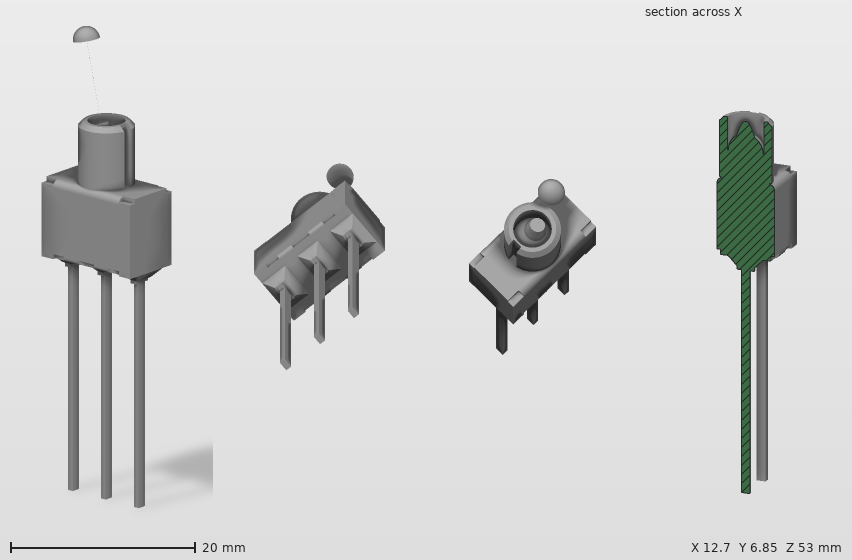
import cadquery as cq
import math


body_length = 12.7
body_width = 6.85
body_bottom = 27.0
body_top = 35.9
cover_length = 9.45
edge_radius = 0.8
ledge_drop = 0.55
tab_bend_radius = 0.4
tab_inner = 1.15
tab_outer = 3.15
recess_height = 0.6
recess_depth = 0.4

pin_pitch = 4.7
pin_thickness = 0.7
pin_width = 1.05
collar_width = 2.1
collar_bottom = 25.55
seal_bottom = 26.0
seal_width = 4.15
middle_seal_length = 2.85
middle_seal_tip = 0.9
outer_seal_length = 3.2
outer_seal_tip = 1.4

bushing_diameter = 6.2
bushing_top = 42.95
bushing_chamfer = 0.55
bore_diameter = 4.2
keyway_width = 1.15
keyway_floor = 2.3

lever_tilt = 13.0
overall_height = 53.05
knob_radius = 1.5
knob_offset = 2.85
stub_height = 3.45
stub_tip_diameter = 1.65
stub_base_diameter = 2.35
core_diameter = 0.01

knob_height = overall_height - knob_radius
lever_length = knob_offset / math.sin(math.radians(lever_tilt))
pivot_height = knob_height - knob_offset / math.tan(math.radians(lever_tilt))


def box(length, width, bottom, top, x=0, y=0):
    """Upright box centred on (x, y) between two heights."""
    return cq.Workplane("XY").box(length, width, top - bottom, (True, True, False)).translate((x, y, bottom))


def make_housing():
    """Block with rounded cover edges, lowered corner ledges and bent tabs under the cover."""
    ends = box(body_length, body_width, body_bottom, body_top)
    cover = box(cover_length, body_width, body_bottom, body_top)
    ends = ends.cut(cover)
    cover = cover.edges("|X and >Z").fillet(edge_radius)
    cover = cover.edges("|X and <Z").fillet(tab_bend_radius)

    ledge_length = (body_length - cover_length) / 2
    recess_top = body_bottom + recess_height
    for side in (-1, 1):
        ledge_y = side * (body_width - edge_radius) / 2
        recess_y = side * (body_width - recess_depth) / 2
        for end in (-1, 1):
            ledge_x = end * (body_length - ledge_length) / 2
            ends = ends.cut(
                box(ledge_length, edge_radius, body_top - ledge_drop, body_top, ledge_x, ledge_y)
            )
            outer_length = cover_length / 2 - tab_outer
            outer_x = end * (cover_length / 2 + tab_outer) / 2
            cover = cover.cut(box(outer_length, recess_depth, body_bottom, recess_top, outer_x, recess_y))
        cover = cover.cut(box(2 * tab_inner, recess_depth, body_bottom, recess_top, 0, recess_y))
    return ends.union(cover)


def make_terminal(x, seal_length, seal_tip):
    """Flat pin with a shoulder collar and a tapered seal against the housing."""
    pin = box(pin_thickness, pin_width, 0, body_bottom, x)
    collar = box(pin_thickness, collar_width, collar_bottom, body_bottom, x)
    seal = (
        cq.Workplane("XY", origin=(x, 0, seal_bottom))
        .rect(seal_tip, collar_width)
        .workplane(offset=body_bottom - seal_bottom)
        .rect(seal_length, seal_width)
        .loft(ruled=True)
    )
    return pin.union(collar).union(seal)


def make_bushing():
    """Chamfered sleeve whose bore ends on the dome of the pivot ball, with a keyway on +X."""
    outer = bushing_diameter / 2
    bore = bore_diameter / 2
    diagonal = bore * math.sqrt(0.5)
    sleeve = (
        cq.Workplane("XZ")
        .moveTo(0, body_top)
        .lineTo(outer, body_top)
        .lineTo(outer, bushing_top - bushing_chamfer)
        .lineTo(outer - bushing_chamfer, bushing_top)
        .lineTo(bore, bushing_top)
        .lineTo(bore, pivot_height)
        .threePointArc((diagonal, pivot_height + diagonal), (0, pivot_height + bore))
        .close()
        .revolve(360, (0, 0), (0, 1))
    )
    keyway_depth = outer - keyway_floor
    keyway = box(keyway_depth, keyway_width, body_top, bushing_top, keyway_floor + keyway_depth / 2)
    return sleeve.cut(keyway)


def make_lever():
    """Tapered stub rising from the pivot centre, joined by a hair-thin core to a half-ball knob."""
    stub_start = math.sqrt(bore_diameter**2 - stub_base_diameter**2) / 2
    stub = (
        cq.Workplane("XZ")
        .lineTo(stub_base_diameter / 2, 0)
        .lineTo(stub_base_diameter / 2, stub_start)
        .lineTo(stub_tip_diameter / 2, stub_height)
        .lineTo(0, stub_height)
        .close()
        .revolve(360, (0, 0), (0, 1))
    )
    knob_diagonal = knob_radius * math.sqrt(0.5)
    knob = (
        cq.Workplane("XZ")
        .moveTo(0, lever_length)
        .lineTo(knob_radius, lever_length)
        .threePointArc((knob_diagonal, lever_length + knob_diagonal), (0, lever_length + knob_radius))
        .close()
        .revolve(360, (0, 0), (0, 1))
    )
    core = cq.Workplane("XY").circle(core_diameter / 2).extrude(lever_length + core_diameter)
    lever = stub.union(core).union(knob)
    return lever.rotate((0, 0, 0), (0, 1, 0), -lever_tilt).translate((0, 0, pivot_height))


result = make_housing().union(make_bushing()).union(make_lever())
result = result.union(make_terminal(0, middle_seal_length, middle_seal_tip))
for terminal_x in (-pin_pitch, pin_pitch):
    result = result.union(make_terminal(terminal_x, outer_seal_length, outer_seal_tip))